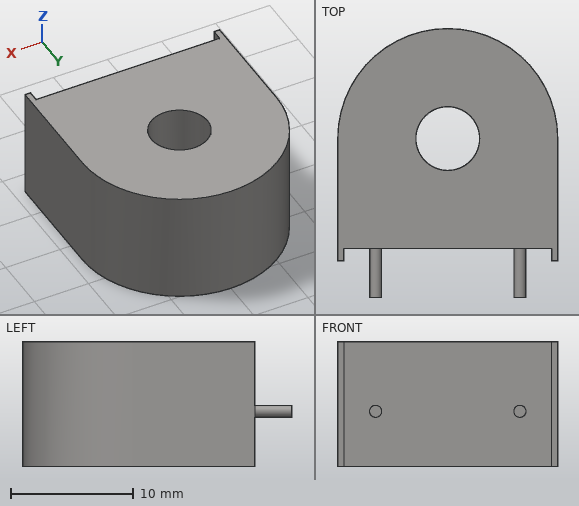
import cadquery as cq

overall_length = 22.0
width = 18.0
height = 10.2
bore_diameter = 5.2
wall_thickness = 0.5
wall_overhang = 1.0
pin_diameter = 1.0
pin_spacing = 11.8
pin_height = 4.5

round_radius = width / 2
front_face_y = -round_radius
wall_end_y = front_face_y - wall_overhang
pin_tip_y = round_radius - overall_length
pin_length = front_face_y - pin_tip_y


def make_body():
    """Housing with a round back and two side walls reaching past the front face."""
    inner_x = round_radius - wall_thickness
    return (
        cq.Workplane("XY")
        .moveTo(round_radius, 0)
        .threePointArc((0, round_radius), (-round_radius, 0))
        .lineTo(-round_radius, wall_end_y)
        .lineTo(-inner_x, wall_end_y)
        .lineTo(-inner_x, front_face_y)
        .lineTo(inner_x, front_face_y)
        .lineTo(inner_x, wall_end_y)
        .lineTo(round_radius, wall_end_y)
        .close()
        .extrude(height)
    )


def make_bore():
    """Cutter for the hole straight through the housing."""
    return cq.Workplane("XY").circle(bore_diameter / 2).extrude(height)


def make_pin(x):
    """Round pin standing out of the front face."""
    return (
        cq.Workplane("XZ", origin=(x, front_face_y, pin_height))
        .circle(pin_diameter / 2)
        .extrude(pin_length)
    )


result = make_body().cut(make_bore())
for side in (-1, 1):
    result = result.union(make_pin(side * pin_spacing / 2))